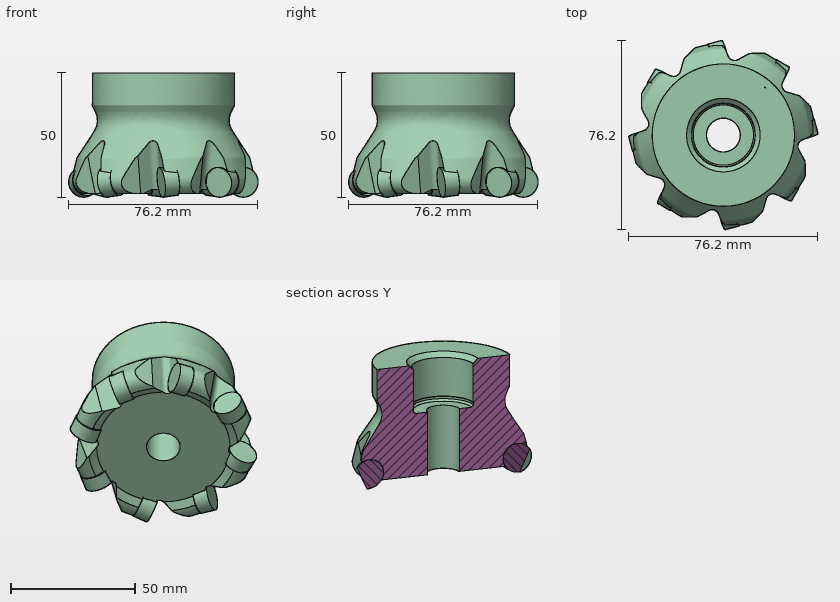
import cadquery as cq
import math


tooth_count = 8
tooth_pitch = 360 / tooth_count

insert_radius = 12.0 / 2
insert_thickness = 6.0
insert_stand_out = 0.8
cutting_radius = 38.1
tip_azimuth = 1.0
radial_rake = 15.0
axial_rake = 7.0

top_z = 50.0
flange_radius = 57.2 / 2
flange_bottom_z = 36.9
flange_round = 0.75
neck_radius = 25.4
neck_z = 30.4
neck_round = 7.6

shoulder_radius = 34.7
shoulder_z = 15.9
shoulder_round = 3.35
skirt_z = 8.4
heel_round = 5.25
heel_radius = 31.6
heel_middle_angle = -35.0
bottom_z = 1.45
dish_radius = 30.1
dish_floor_radius = 26.8
dish_z = 3.1

bore_radius = 25.45 / 2
bore_mouth_chamfer = 2.05
bore_end_z = 31.7
bore_relief_radius = 25.9 / 2
bore_floor_z = 29.7
bore_floor_radius = 12.1
through_radius = 13.5 / 2

gullet_slope = 10.0
gullet_root = -7.1
gullet_wall_angle = -70.0
gullet_wall_length = 9.15
gullet_round = 2.3
gullet_reach = 45.7

rake = math.radians(radial_rake)
lean = math.radians(axial_rake)
slope = math.radians(gullet_slope)
tip = math.radians(tip_azimuth)

along_face = cq.Vector(math.cos(rake), math.sin(rake), 0)
face_normal = cq.Vector(
    math.sin(rake) * math.cos(lean),
    -math.cos(rake) * math.cos(lean),
    -math.sin(lean),
)
up_face = face_normal.cross(along_face)
up_gullet = up_face * math.cos(slope) + along_face * math.sin(slope)
across_gullet = along_face * math.cos(slope) - up_face * math.sin(slope)

tip_point = cq.Vector(
    cutting_radius * math.cos(tip),
    cutting_radius * math.sin(tip),
    insert_radius * math.cos(lean),
)
insert_center = tip_point - along_face * insert_radius


def at_tooth(shape, index):
    """Turn a shape made for the first tooth to another tooth."""
    return shape.rotate((0, 0, 0), (0, 0, 1), index * tooth_pitch)


def ring_edge(radius, z):
    """Select the circular edge of this radius and height around the tool axis."""
    margin = 0.1
    return cq.selectors.BoxSelector(
        (-radius - margin, -radius - margin, z - margin),
        (radius + margin, radius + margin, z + margin),
        boundingbox=True,
    )


def make_insert():
    face = cq.Plane(insert_center, along_face, face_normal)
    return cq.Workplane(face).circle(insert_radius).extrude(-insert_thickness)


def make_gullet():
    """V-shaped cutter for one gullet: face, rounded root, back wall and relief flat."""
    wall = math.radians(gullet_wall_angle)
    root_x, face_y = gullet_root, insert_stand_out
    flat_x = root_x + gullet_wall_length * math.cos(wall)
    flat_y = face_y + gullet_wall_length * math.sin(wall)
    outline = [
        (root_x, face_y),
        (flat_x, flat_y),
        (flat_x, -gullet_reach),
        (gullet_reach, -gullet_reach),
        (gullet_reach, face_y),
    ]
    section = cq.Plane(insert_center, across_gullet, up_gullet)
    prism = cq.Workplane(section).polyline(outline).close().extrude(gullet_reach, both=True)
    root = section.toWorldCoords((root_x, face_y))
    root_edge = cq.selectors.NearestToPointSelector(root.toTuple())
    return prism.edges(root_edge).fillet(gullet_round)


def make_blank():
    """Turned outside of the body, with the dished bottom face."""
    heel_z = bottom_z + heel_round
    skirt_radius = heel_radius + math.sqrt(heel_round**2 - (skirt_z - heel_z) ** 2)
    middle = math.radians(heel_middle_angle)
    heel_middle = (
        heel_radius + heel_round * math.cos(middle),
        heel_z + heel_round * math.sin(middle),
    )
    blank = (
        cq.Workplane("XZ")
        .moveTo(0, top_z)
        .lineTo(flange_radius, top_z)
        .lineTo(flange_radius, flange_bottom_z)
        .lineTo(neck_radius, neck_z)
        .lineTo(shoulder_radius, shoulder_z)
        .lineTo(skirt_radius, skirt_z)
        .threePointArc(heel_middle, (heel_radius, bottom_z))
        .lineTo(dish_radius, bottom_z)
        .lineTo(dish_floor_radius, dish_z)
        .lineTo(0, dish_z)
        .close()
        .revolve(360, (0, 0), (0, 1))
    )
    blank = blank.edges(ring_edge(flange_radius, flange_bottom_z)).fillet(flange_round)
    blank = blank.edges(ring_edge(neck_radius, neck_z)).fillet(neck_round)
    return blank.edges(ring_edge(shoulder_radius, shoulder_z)).fillet(shoulder_round)


def make_bore():
    """Stepped bore: chamfered mouth, fitting bore, relief, beveled floor and through hole."""
    relief_step = bore_relief_radius - bore_radius
    floor_bevel = bore_relief_radius - bore_floor_radius
    profile = [
        (0, bottom_z),
        (through_radius, bottom_z),
        (through_radius, bore_floor_z),
        (bore_floor_radius, bore_floor_z),
        (bore_relief_radius, bore_floor_z + floor_bevel),
        (bore_relief_radius, bore_end_z - relief_step),
        (bore_radius, bore_end_z),
        (bore_radius, top_z - bore_mouth_chamfer),
        (bore_radius + bore_mouth_chamfer, top_z),
        (0, top_z),
    ]
    return cq.Workplane("XZ").polyline(profile).close().revolve(360, (0, 0), (0, 1))


inserts = [at_tooth(make_insert(), index) for index in range(tooth_count)]

gullet = make_gullet()
body = make_blank().cut(make_bore())
for index in range(tooth_count):
    body = body.cut(at_tooth(gullet, index))

for insert in inserts:
    body = body.cut(insert)

result = cq.Compound.makeCompound([body.solids().val(), *[insert.val() for insert in inserts]])